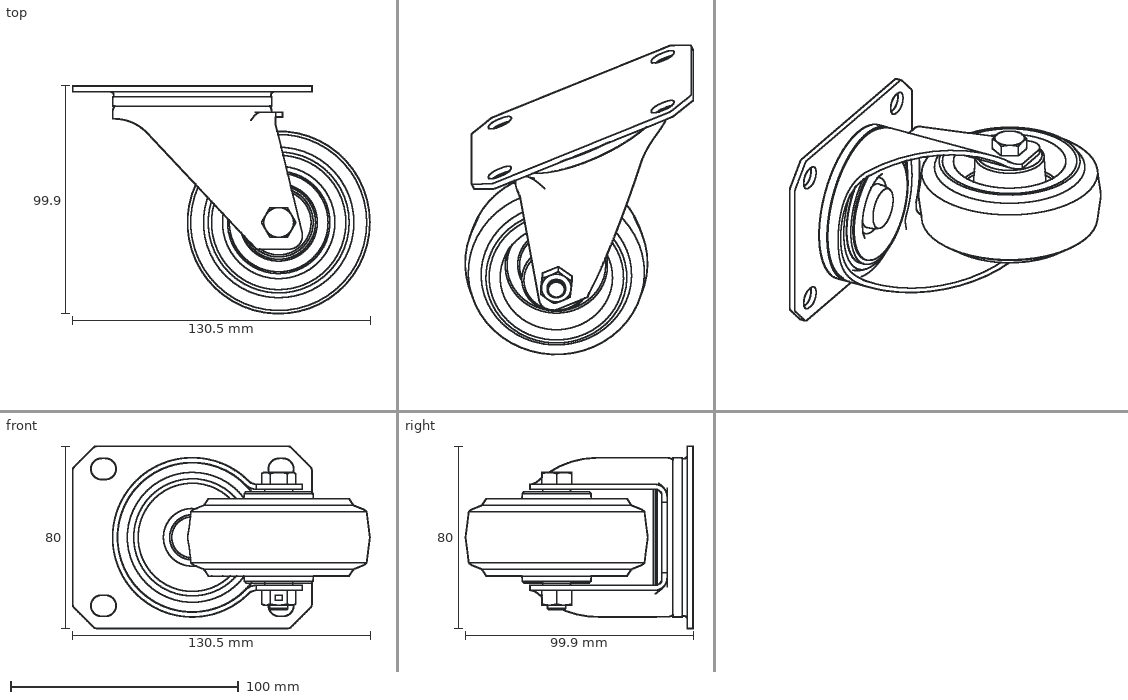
import cadquery as cq
import math


overall_length = 130.5
overall_drop = 99.9
tyre_radius = 40.0

plate_length = 105.0
plate_width = 80.0
plate_thickness = 2.6
plate_corner_cut = 9.8
plate_corner_radius = 2.0
slot_spacing_x = 77.9
slot_spacing_z = 60.0
slot_length = 11.0
slot_width = 9.1
neck_radius = 34.6
neck_flare = 1.5
neck_bottom = -4.8

axle_x = overall_length - plate_length / 2 - tyre_radius
axle_y = tyre_radius - overall_drop

head_radius = 35.0
head_bottom = -8.9
pin_radius = 9.9
pin_side_middle = (9.7, -15.4)
pin_tip_radius = 9.0
pin_tip = -17.5

sheet = 2.2
cup_radius = 35.0
cup_bore = cup_radius - sheet
crown_rounding = 2 * sheet
crown_round_end = -11.5
crown_top = crown_round_end + crown_rounding
hollow_radius = 25.7
floor_top = -11.5
floor_bottom = floor_top - sheet
groove_wall_end = crown_round_end
groove_top_point = (31.2, crown_top - sheet)
groove_inner_point = (29.6, -10.7)
groove_foot_middle = (27.9, -14.3)
ledge_y = -15.7
groove_foot_radius = 25.6
bulge_outer_radius = 23.7
bulge_outer_y = -16.3
bulge_crest_radius = 20.1
bulge_crest = -17.5
bulge_inner_radius = 16.3
bulge_inner_y = -16.2
pit_radius = 12.7
pit_floor = -12.3
leg_outer_z = 23.2
leg_inner_z = leg_outer_z - sheet
leg_bend_radius = 5.2
leg_blend_radius = 5.5
leg_top_x = 36.5
leg_bottom = -71.6
leg_tip_x = 50.0
leg_tip_radius = 6.0
rim_cut_y = -14.5
rim_cut_corner_x = -25.6
rim_cut_radius = 20.0
leg_heel_x = 28.0
channel_end_x = 58.7
tab_end_radius = 39.7
tab_half_width = leg_outer_z - leg_bend_radius
tab_start_x = 33.9
tab_side_x = math.sqrt(tab_end_radius**2 - tab_half_width**2)

wheel_half_width = 17.0
rim_radius = 29.5
pocket_mouth_radius = 24.7
pocket_floor_radius = 22.5
pocket_floor_z = 1.8
pocket_floor_rounding = 0.8
boss_half_length = 20.1
boss_tip_radius = 15.1
boss_foot_radius = 16.2
boss_tip_rounding = 0.9
tyre_step_face_radius = 30.9
tyre_step_foot_radius = 32.4
tyre_step_foot_z = 14.7
tyre_shoulder_start_radius = 33.0
tyre_shoulder_start_z = 14.0
tyre_shoulder_end_radius = 37.3
tyre_shoulder_end_z = 12.3
tread_edge_radius = 38.6
tread_edge_z = 11.2

sleeve_radius = 6.1
bolt_radius = 4.0
bolt_end_z = -31.7
bolt_end_chamfer = 0.5
hex_across_flats = 13.0
hex_corner_drop = 0.5
bolt_head_height = 5.2
nut_height = 6.5
nut_recess_width = 3.1
nut_recess_height = 2.2
nut_recess_depth = 0.5


def prism_below(outline, top, bottom):
    """Extrude an X-Z outline from Y = top down to Y = bottom."""
    return outline.extrude(top - bottom).translate((0, top, 0))


def turn_about_swivel(profile):
    """Revolve a closed (radius, Y) profile about the swivel axis."""
    return profile.close().revolve(360, (0, 0, 0), (0, 1, 0))


def turn_about_axle(profile):
    """Revolve a closed (radius, Z) profile about Z and move it onto the wheel axle."""
    return profile.close().revolve(360, (0, 0, 0), (0, 1, 0)).translate((axle_x, axle_y, 0))


def axle_cylinder(radius, z_start, z_end):
    """Round bar on the wheel axle."""
    return cq.Workplane("XY", origin=(axle_x, axle_y, z_start)).circle(radius).extrude(z_end - z_start)


def make_plate():
    """Plate with cut corners and four slots, on a short flared neck."""
    plate = prism_below(cq.Workplane("XZ").rect(plate_length, plate_width), 0, -plate_thickness)
    plate = plate.edges("|Y").chamfer(plate_corner_cut)
    plate = plate.edges("|Y").fillet(plate_corner_radius)
    slots = (
        cq.Workplane("XZ")
        .rect(slot_spacing_x, slot_spacing_z, forConstruction=True)
        .vertices()
        .slot2D(slot_length, slot_width)
        .extrude(plate_thickness)
    )
    flare_middle = neck_flare * (1 - math.sqrt(0.5))
    neck = turn_about_swivel(
        cq.Workplane("XY")
        .moveTo(0, -plate_thickness)
        .lineTo(neck_radius + neck_flare, -plate_thickness)
        .threePointArc(
            (neck_radius + flare_middle, -plate_thickness - flare_middle),
            (neck_radius, -plate_thickness - neck_flare),
        )
        .lineTo(neck_radius, neck_bottom)
        .lineTo(0, neck_bottom)
    )
    return plate.cut(slots).union(neck)


def make_swivel_head():
    """Disc with the kingpin on its underside, recessed for the crown of the fork."""
    disc = prism_below(cq.Workplane("XZ").circle(head_radius), neck_bottom, head_bottom)
    pin = turn_about_swivel(
        cq.Workplane("XY")
        .moveTo(0, crown_top)
        .lineTo(pin_radius, crown_top)
        .lineTo(pin_radius, pit_floor)
        .threePointArc(pin_side_middle, (pin_tip_radius, pin_tip))
        .lineTo(0, pin_tip)
    )
    return disc.cut(make_cup()).union(pin)


def fork_block(radius, half_width, blend_radius, top, bend_radius):
    """Keyhole-shaped block: a round cup blended into a straight channel, rounded along its top."""
    blend_center_z = half_width + blend_radius
    blend_center_x = math.sqrt((radius + blend_radius) ** 2 - blend_center_z**2)
    touch_x = blend_center_x * radius / (radius + blend_radius)
    touch_z = blend_center_z * radius / (radius + blend_radius)
    touch_angle = math.atan2(blend_center_z, blend_center_x)
    middle_angle = (touch_angle + math.pi / 2) / 2
    middle_x = blend_center_x - blend_radius * math.cos(middle_angle)
    middle_z = blend_center_z - blend_radius * math.sin(middle_angle)
    outline = (
        cq.Workplane("XZ")
        .moveTo(channel_end_x, half_width)
        .lineTo(blend_center_x, half_width)
        .threePointArc((middle_x, middle_z), (touch_x, touch_z))
        .threePointArc((-radius, 0), (touch_x, -touch_z))
        .threePointArc((middle_x, -middle_z), (blend_center_x, -half_width))
        .lineTo(channel_end_x, -half_width)
        .close()
    )
    block = prism_below(outline, top, leg_bottom)
    return block.faces(">Y").edges().fillet(bend_radius)


def make_cup():
    """Solid outside shape of the cup with its rounded crown."""
    return turn_about_swivel(
        cq.Workplane("XY")
        .moveTo(0, crown_top)
        .lineTo(cup_radius - crown_rounding, crown_top)
        .threePointArc(
            (cup_radius - crown_rounding * (1 - math.sqrt(0.5)), crown_round_end + crown_rounding * math.sqrt(0.5)),
            (cup_radius, crown_round_end),
        )
        .lineTo(cup_radius, leg_bottom)
        .lineTo(0, leg_bottom)
    )


def make_cup_bore():
    """Hollow of the cup, with the ring-shaped groove under the crown."""
    return turn_about_swivel(
        cq.Workplane("XY")
        .moveTo(0, leg_bottom)
        .lineTo(cup_bore, leg_bottom)
        .lineTo(cup_bore, groove_wall_end)
        .threePointArc(groove_top_point, groove_inner_point)
        .threePointArc(groove_foot_middle, (groove_foot_radius, ledge_y))
        .lineTo(0, ledge_y)
    )


def make_dish():
    """Sheet around the kingpin: flat ledge, ring-shaped bulge and sunken pit."""
    return turn_about_swivel(
        cq.Workplane("XY")
        .moveTo(pin_radius, pit_floor + sheet)
        .lineTo(pin_radius, pit_floor)
        .lineTo(pit_radius, pit_floor)
        .lineTo(bulge_inner_radius, bulge_inner_y)
        .threePointArc((bulge_crest_radius, bulge_crest), (bulge_outer_radius, bulge_outer_y))
        .lineTo(bulge_outer_radius, ledge_y)
        .lineTo(hollow_radius, ledge_y)
        .lineTo(hollow_radius, ledge_y + sheet)
        .lineTo(bulge_outer_radius - sheet, ledge_y + sheet)
        .threePointArc((bulge_crest_radius, bulge_crest + sheet), (bulge_inner_radius, bulge_inner_y + sheet))
        .lineTo(pit_radius + sheet, pit_floor + sheet)
    )


def make_side_outline():
    """Fork as seen along the axle, from the cup rim down to the leg tips, as a thick slab."""
    side = (
        cq.Workplane("XY")
        .moveTo(-cup_radius - 1.3, crown_top)
        .lineTo(-cup_radius - 1.3, rim_cut_y)
        .lineTo(rim_cut_corner_x, rim_cut_y)
        .lineTo(leg_heel_x, leg_bottom)
        .lineTo(leg_tip_x, leg_bottom)
        .lineTo(leg_top_x, floor_top - leg_bend_radius)
        .lineTo(leg_top_x, crown_top)
        .close()
        .extrude(plate_width, both=True)
    )
    rim_corner = cq.selectors.NearestToPointSelector((rim_cut_corner_x, rim_cut_y, 0))
    tip_corner = cq.selectors.NearestToPointSelector((leg_tip_x, leg_bottom, 0))
    return side.edges(rim_corner).fillet(rim_cut_radius).edges(tip_corner).fillet(leg_tip_radius)


def make_fork():
    """Cup with two legs, a floor pressed around the kingpin and a tab at the open end."""
    outside = fork_block(cup_radius, leg_outer_z, leg_blend_radius, floor_top, leg_bend_radius)
    inside = fork_block(cup_bore, leg_inner_z, leg_blend_radius + sheet, floor_bottom, leg_bend_radius - sheet)
    fork = make_cup().union(outside).cut(make_cup_bore().union(inside))
    opening = cq.Workplane("XZ").circle(hollow_radius)
    fork = fork.cut(prism_below(opening, crown_top, pin_tip)).union(make_dish())
    fork = fork.intersect(make_side_outline())
    tab_outline = (
        cq.Workplane("XZ")
        .moveTo(tab_start_x, tab_half_width)
        .lineTo(tab_side_x, tab_half_width)
        .threePointArc((tab_end_radius, 0), (tab_side_x, -tab_half_width))
        .lineTo(tab_start_x, -tab_half_width)
        .close()
    )
    fork = fork.union(prism_below(tab_outline, floor_top, floor_bottom))
    return fork.cut(axle_cylinder(bolt_radius, -leg_outer_z, leg_outer_z))


def make_rim():
    """Wheel centre with a tapered boss and a ring-shaped pocket on each side."""
    body = turn_about_axle(
        cq.Workplane("XZ")
        .moveTo(sleeve_radius, 0)
        .lineTo(sleeve_radius, boss_half_length)
        .lineTo(boss_tip_radius - boss_tip_rounding, boss_half_length)
        .lineTo(boss_tip_radius, boss_half_length - boss_tip_rounding)
        .lineTo(boss_foot_radius, pocket_floor_z + pocket_floor_rounding)
        .lineTo(boss_foot_radius + pocket_floor_rounding, pocket_floor_z)
        .lineTo(pocket_floor_radius - pocket_floor_rounding, pocket_floor_z)
        .lineTo(pocket_floor_radius, pocket_floor_z + pocket_floor_rounding)
        .lineTo(pocket_mouth_radius, wheel_half_width)
        .lineTo(rim_radius, wheel_half_width)
        .lineTo(rim_radius, 0)
    )
    return body.union(body.mirror("XY"))


def make_tyre():
    """Tyre with a stepped side, sloping shoulders and a slightly crowned tread."""
    return turn_about_axle(
        cq.Workplane("XZ")
        .moveTo(rim_radius, -wheel_half_width)
        .lineTo(tyre_step_face_radius, -wheel_half_width)
        .lineTo(tyre_step_foot_radius, -tyre_step_foot_z)
        .lineTo(tyre_shoulder_start_radius, -tyre_shoulder_start_z)
        .lineTo(tyre_shoulder_end_radius, -tyre_shoulder_end_z)
        .lineTo(tread_edge_radius, -tread_edge_z)
        .lineTo(tyre_radius, 0)
        .lineTo(tread_edge_radius, tread_edge_z)
        .lineTo(tyre_shoulder_end_radius, tyre_shoulder_end_z)
        .lineTo(tyre_shoulder_start_radius, tyre_shoulder_start_z)
        .lineTo(tyre_step_foot_radius, tyre_step_foot_z)
        .lineTo(tyre_step_face_radius, wheel_half_width)
        .lineTo(rim_radius, wheel_half_width)
    )


def make_sleeve():
    """Tube between the legs that carries the wheel."""
    tube = axle_cylinder(sleeve_radius, -leg_inner_z, leg_inner_z)
    return tube.cut(axle_cylinder(bolt_radius, -leg_inner_z, leg_inner_z))


def hex_block(height):
    """Hexagon standing on Z = 0 with its upper corners turned off."""
    corner_diameter = hex_across_flats / math.cos(math.pi / 6)
    block = cq.Workplane("XY").polygon(6, corner_diameter).extrude(height)
    rounding_cone = (
        cq.Workplane("XZ")
        .lineTo(corner_diameter / 2, 0)
        .lineTo(corner_diameter / 2, height - hex_corner_drop)
        .lineTo(hex_across_flats / 2, height)
        .lineTo(0, height)
        .close()
        .revolve(360, (0, 0, 0), (0, 1, 0))
    )
    return block.intersect(rounding_cone)


def make_bolt():
    """Hexagon head bolt through both legs and the sleeve."""
    shank = axle_cylinder(bolt_radius, bolt_end_z, leg_outer_z).faces("<Z").chamfer(bolt_end_chamfer)
    return hex_block(bolt_head_height).translate((axle_x, axle_y, leg_outer_z)).union(shank)


def make_nut():
    """Hexagon nut with a small rectangular recess in one flat."""
    nut = hex_block(nut_height).rotate((0, 0, 0), (1, 0, 0), 180)
    recess = cq.Workplane("XY").box(nut_recess_width, 2 * nut_recess_depth, nut_recess_height)
    nut = nut.cut(recess.translate((0, -hex_across_flats / 2, -nut_height / 2)))
    nut = nut.translate((axle_x, axle_y, -leg_outer_z))
    return nut.cut(axle_cylinder(bolt_radius, bolt_end_z, -leg_outer_z))


plate = make_plate()
swivel_head = make_swivel_head()
fork = make_fork()
rim = make_rim()
tyre = make_tyre()
sleeve = make_sleeve()
bolt = make_bolt()
nut = make_nut()

result = cq.Compound.makeCompound(
    [
        *plate.vals(),
        *swivel_head.vals(),
        *fork.vals(),
        *rim.vals(),
        *tyre.vals(),
        *sleeve.vals(),
        *bolt.vals(),
        *nut.vals(),
    ]
)